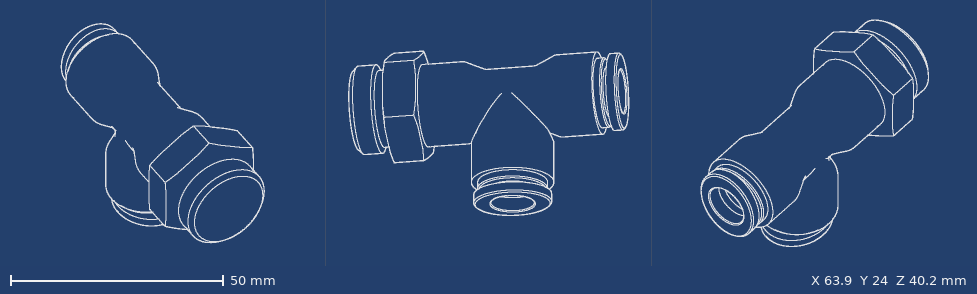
import cadquery as cq
import math


body_diameter = 19.5
neck_diameter = 15.0
neck_half_length = 6.0
shoulder_length = 5.0
shoulder_blend_radius = 1.3
socket_face = 20.95
stud_face = 20.95
bore_diameter = 10.2
socket_depth = 9.9

collar_diameter = 16.5
collar_length = 1.9
collar_chamfer = 0.3

ring_neck_diameter = 11.7
ring_neck_length = 1.1
ring_flange_length = 2.4
ring_long_axis = 18.5
ring_short_axis = 16.0
ring_edge_chamfer = 0.4
ring_mouth_chamfer = 0.25

hex_across_flats = 24.0
hex_length = 7.9
hex_chamfer_circle = 24.9
hex_chamfer_length = 0.415
undercut_diameter = 18.2
undercut_length = 2.55
undercut_root_radius = 0.5
thread_diameter = 20.95
thread_lead_in_length = 0.6
thread_end_diameter = 18.8
thread_end_chamfer_length = 1.15
thread_end = 37.5

shoulder_end = neck_half_length + shoulder_length
collar_face = socket_face + collar_length
flange_back = collar_face + ring_neck_length
ring_face = flange_back + ring_flange_length
hex_end = stud_face + hex_length
undercut_end = hex_end + undercut_length


def turn_about_x(points):
    """Revolve a closed outline of (x, radius) points about the X axis."""
    return cq.Workplane("XY").polyline(points).close().revolve(360, (0, 0, 0), (1, 0, 0))


def bar_along_x(start, length, diameter):
    return cq.Workplane("YZ", origin=(start, 0, 0)).circle(diameter / 2).extrude(length)


def to_branch(workplane):
    """Swing an arm that points along -X down to point along -Z."""
    return workplane.rotate((0, 0, 0), (0, 1, 0), -90)


def flared_arm(length):
    """Neck that flares out to the body diameter, from the axis crossing towards -X."""
    arm = turn_about_x([
        (0, 0),
        (0, neck_diameter / 2),
        (-neck_half_length, neck_diameter / 2),
        (-shoulder_end, body_diameter / 2),
        (-length, body_diameter / 2),
        (-length, 0),
    ])
    middle_of_socket_cylinder = (shoulder_end + length) / 2
    flare_corners = arm.edges("%CIRCLE").filter(
        lambda edge: -middle_of_socket_cylinder < edge.Center().x < 0
    )
    return arm.newObject(flare_corners.vals()).fillet(shoulder_blend_radius)


def make_tee_body():
    socket_arm = flared_arm(socket_face)
    stud_arm = flared_arm(stud_face).mirror("YZ")
    socket_bore = bar_along_x(-socket_face, socket_depth, bore_diameter)
    body = socket_arm.union(stud_arm).union(to_branch(socket_arm))
    return body.cut(socket_bore).cut(to_branch(socket_bore))


def make_collar():
    collar = bar_along_x(-collar_face, collar_length, collar_diameter)
    collar = collar.faces("<X").chamfer(collar_chamfer)
    return collar.cut(bar_along_x(-collar_face, collar_length, bore_diameter))


def make_release_ring():
    flange = (
        cq.Workplane("YZ", origin=(-ring_face, 0, 0))
        .ellipse(ring_short_axis / 2, ring_long_axis / 2)
        .extrude(ring_flange_length)
        .faces("<X")
        .chamfer(ring_edge_chamfer)
    )
    neck = bar_along_x(-flange_back, ring_neck_length, ring_neck_diameter)
    bore = bar_along_x(-ring_face, ring_face - collar_face, bore_diameter)
    ring = flange.union(neck).cut(bore)
    return ring.faces("<X").edges("%CIRCLE").chamfer(ring_mouth_chamfer)


def make_hexagon():
    """Hexagon with two corners on Z and its corners chamfered on both faces."""
    corner_radius = hex_across_flats / math.sqrt(3)
    hexagon = (
        cq.Workplane("YZ", origin=(stud_face, 0, 0))
        .polygon(6, 2 * corner_radius)
        .extrude(hex_length)
        .rotate((0, 0, 0), (1, 0, 0), 90)
    )
    chamfer_envelope = turn_about_x([
        (stud_face, 0),
        (stud_face, hex_chamfer_circle / 2),
        (stud_face + hex_chamfer_length, corner_radius),
        (hex_end - hex_chamfer_length, corner_radius),
        (hex_end, hex_chamfer_circle / 2),
        (hex_end, 0),
    ])
    return hexagon.intersect(chamfer_envelope)


def make_stud():
    threaded_end = turn_about_x([
        (hex_end, 0),
        (hex_end, undercut_diameter / 2),
        (undercut_end, undercut_diameter / 2),
        (undercut_end + thread_lead_in_length, thread_diameter / 2),
        (thread_end - thread_end_chamfer_length, thread_diameter / 2),
        (thread_end, thread_end_diameter / 2),
        (thread_end, 0),
    ])
    stud = make_hexagon().union(threaded_end)
    root_edge = stud.edges("%CIRCLE").filter(
        lambda edge: math.isclose(edge.Center().x, hex_end) and edge.radius() < thread_diameter / 2
    )
    return stud.newObject(root_edge.vals()).fillet(undercut_root_radius)


tee_body = make_tee_body()
stud = make_stud()

socket_parts = []
for make_part in (make_collar, make_release_ring):
    run_part = make_part()
    socket_parts += [run_part.val(), to_branch(run_part).val()]

result = cq.Compound.makeCompound([tee_body.val(), stud.val(), *socket_parts])